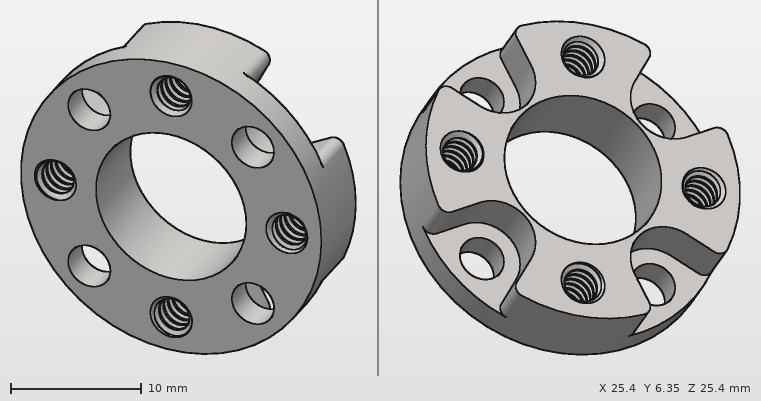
import cadquery as cq
import math

MM_PER_INCH = 25.4

OUTER_RADIUS = MM_PER_INCH / 2
BORE_RADIUS = MM_PER_INCH / 4
THICKNESS = MM_PER_INCH / 4

BOLT_CIRCLE_RADIUS = 9.779
CLEARANCE_RADIUS = 1.78
HOLE_COUNT = 4
CLEARANCE_START_ANGLE = 45.0
TAPPED_START_ANGLE = 0.0

THREAD_MAJOR_RADIUS = 1.753
THREAD_MINOR_RADIUS = 1.36
THREADS_PER_INCH = 32
THREAD_PITCH = MM_PER_INCH / THREADS_PER_INCH
THREAD_FLANK_ANGLE = 30.0
THREAD_ROOT_WIDTH = THREAD_PITCH / 8
THREAD_OVERLAP = 0.1
THREAD_START_ANGLE = 257.0
DRILL_SEAM_OFFSET = 90.0

NOTCH_DEPTH = 3.81
NOTCH_RADIUS = 3.08
NOTCH_FLARE = 17.5
NOTCH_CORNER_RADIUS = 0.8


def along_y(sketch, start, length):
    """Extrude a closed outline from y = start towards +Y."""
    return sketch.extrude(-length).translate((0, start, 0))


def ring_angles(start):
    """Evenly spaced angles of one set of holes."""
    return [start + index * 360.0 / HOLE_COUNT for index in range(HOLE_COUNT)]


def turn(body, angle):
    """Rotate a body about the ring's axis direction, through the origin."""
    return body.rotate((0, 0, 0), (0, 1, 0), angle)


def make_ring():
    disc = along_y(cq.Workplane("XZ").circle(OUTER_RADIUS), 0, THICKNESS)
    return disc.cut(along_y(cq.Workplane("XZ").circle(BORE_RADIUS), 0, THICKNESS))


def make_notch():
    """Notch on the +X axis: round bottom, flared flanks, corners rounded into the rim."""
    flare = math.radians(NOTCH_FLARE)
    along = (math.cos(flare), math.sin(flare))
    normal = (-math.sin(flare), math.cos(flare))

    flank_start = (
        BOLT_CIRCLE_RADIUS + NOTCH_RADIUS * normal[0],
        NOTCH_RADIUS * normal[1],
    )

    offset = BOLT_CIRCLE_RADIUS * normal[0] + NOTCH_RADIUS + NOTCH_CORNER_RADIUS
    reach = math.sqrt((OUTER_RADIUS - NOTCH_CORNER_RADIUS) ** 2 - offset**2)
    center = (
        reach * along[0] + offset * normal[0],
        reach * along[1] + offset * normal[1],
    )
    flank_end = (
        center[0] - NOTCH_CORNER_RADIUS * normal[0],
        center[1] - NOTCH_CORNER_RADIUS * normal[1],
    )
    rim_angle = math.atan2(center[1], center[0])
    rim_point = (OUTER_RADIUS * math.cos(rim_angle), OUTER_RADIUS * math.sin(rim_angle))

    flank_direction = math.atan2(-normal[1], -normal[0])
    middle_angle = (flank_direction + rim_angle) / 2
    corner_middle = (
        center[0] + NOTCH_CORNER_RADIUS * math.cos(middle_angle),
        center[1] + NOTCH_CORNER_RADIUS * math.sin(middle_angle),
    )
    outside = OUTER_RADIUS / math.cos(rim_angle)

    def mirrored(point):
        return (point[0], -point[1])

    outline = (
        cq.Workplane("XZ")
        .moveTo(*rim_point)
        .threePointArc(corner_middle, flank_end)
        .lineTo(*flank_start)
        .threePointArc((BOLT_CIRCLE_RADIUS - NOTCH_RADIUS, 0), mirrored(flank_start))
        .lineTo(*mirrored(flank_end))
        .threePointArc(mirrored(corner_middle), mirrored(rim_point))
        .lineTo(outside, 0)
        .close()
    )
    return along_y(outline, THICKNESS - NOTCH_DEPTH, NOTCH_DEPTH)


def make_clearance_hole():
    hole = cq.Workplane("XZ").center(BOLT_CIRCLE_RADIUS, 0).circle(CLEARANCE_RADIUS)
    return along_y(hole, 0, THICKNESS)


def make_tap_drill():
    """Plain hole with its seam line turned away from the ends of the thread groove."""
    drill = along_y(cq.Workplane("XZ").circle(THREAD_MINOR_RADIUS), 0, THICKNESS)
    seam_angle = THREAD_START_ANGLE - DRILL_SEAM_OFFSET
    return turn(drill, seam_angle).translate((BOLT_CIRCLE_RADIUS, 0, 0))


def make_lead_in(start, direction):
    """45 degree cone from the thread's major radius, narrowing to inside the tap drill."""
    tip_radius = THREAD_MINOR_RADIUS - THREAD_OVERLAP
    cone = cq.Solid.makeCone(
        THREAD_MAJOR_RADIUS,
        tip_radius,
        THREAD_MAJOR_RADIUS - tip_radius,
        pnt=cq.Vector(BOLT_CIRCLE_RADIUS, start, 0),
        dir=cq.Vector(0, direction, 0),
    )
    return cq.Workplane(cone)


def make_thread_groove():
    """Right-hand helical groove that runs out past both faces."""
    inner_radius = THREAD_MINOR_RADIUS - THREAD_OVERLAP
    root_half = THREAD_ROOT_WIDTH / 2
    slope = math.tan(math.radians(THREAD_FLANK_ANGLE))
    mouth_half = root_half + (THREAD_MAJOR_RADIUS - inner_radius) * slope
    length = THICKNESS + 2 * THREAD_PITCH
    helix = cq.Workplane(cq.Wire.makeHelix(THREAD_PITCH, length, THREAD_MINOR_RADIUS))
    groove = (
        cq.Workplane("XZ")
        .moveTo(inner_radius, -mouth_half)
        .lineTo(THREAD_MAJOR_RADIUS, -root_half)
        .lineTo(THREAD_MAJOR_RADIUS, root_half)
        .lineTo(inner_radius, mouth_half)
        .close()
        .sweep(helix, isFrenet=True)
    )
    groove = groove.rotate((0, 0, 0), (1, 0, 0), -90)
    return turn(groove, THREAD_START_ANGLE).translate((BOLT_CIRCLE_RADIUS, -THREAD_PITCH, 0))


result = make_ring()

notch = make_notch()
clearance_hole = make_clearance_hole()
for angle in ring_angles(CLEARANCE_START_ANGLE):
    result = result.cut(turn(notch, angle)).cut(turn(clearance_hole, angle))

hole_tools = [
    make_tap_drill(),
    make_thread_groove(),
    make_lead_in(0, 1),
    make_lead_in(THICKNESS, -1),
]
for angle in ring_angles(TAPPED_START_ANGLE):
    for tool in hole_tools:
        result = result.cut(turn(tool, angle))